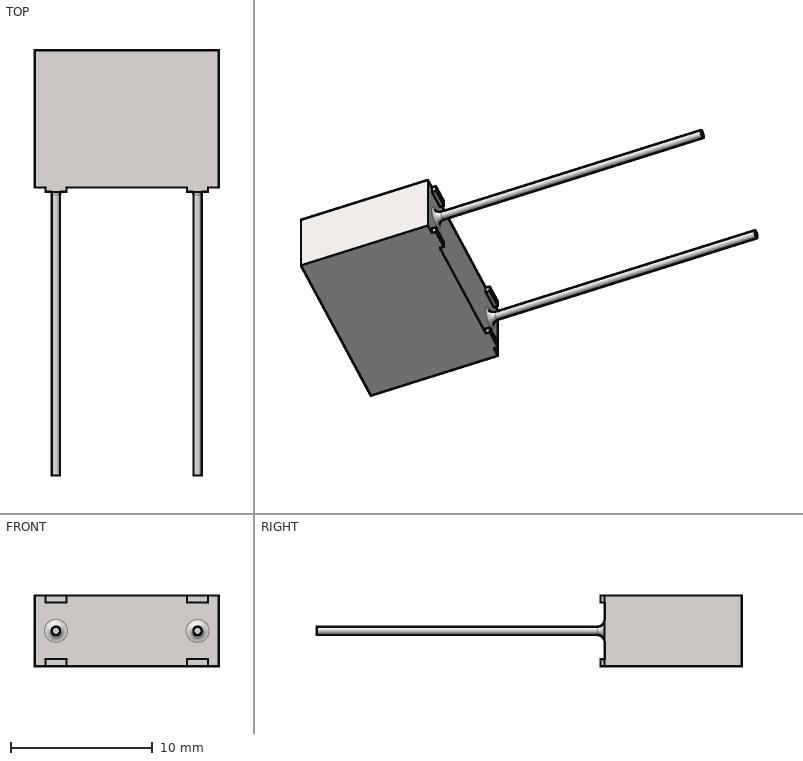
import cadquery as cq

overall_length = 30.0
body_width = 13.0
body_height = 5.0
body_length = 9.7
foot_width = 1.5
foot_length = 0.3
foot_height = 0.5
lead_spacing = 10.0
lead_diameter = 0.6
flare_radius = 0.5

lead_length = overall_length - body_length
lead_radius = lead_diameter / 2
lead_positions = (-lead_spacing / 2, lead_spacing / 2)


def make_body():
    """Rectangular case centred on X and Z."""
    return cq.Workplane("XY").box(
        body_width, body_length, body_height, centered=(True, False, True)
    )


def make_foot(x, side):
    """Stand-off foot flush with the top (side = 1) or bottom (side = -1) of the case."""
    z = side * (body_height - foot_height) / 2
    return cq.Workplane("XY").box(foot_width, foot_length, foot_height).translate(
        (x, -foot_length / 2, z)
    )


def make_lead(x):
    """Round wire that widens into the case through a concave quarter-circle flare."""
    flare_edge = lead_radius + flare_radius
    arc_offset = flare_radius * (1 - 0.5**0.5)
    profile = (
        cq.Workplane("XY")
        .moveTo(0, 0)
        .lineTo(flare_edge, 0)
        .threePointArc(
            (lead_radius + arc_offset, -arc_offset),
            (lead_radius, -flare_radius),
        )
        .lineTo(lead_radius, -lead_length)
        .lineTo(0, -lead_length)
        .close()
    )
    return profile.revolve(360, (0, 0, 0), (0, 1, 0)).translate((x, 0, 0))


result = make_body()
for lead_x in lead_positions:
    result = result.union(make_lead(lead_x))
    for foot_side in (-1, 1):
        result = result.union(make_foot(lead_x, foot_side))